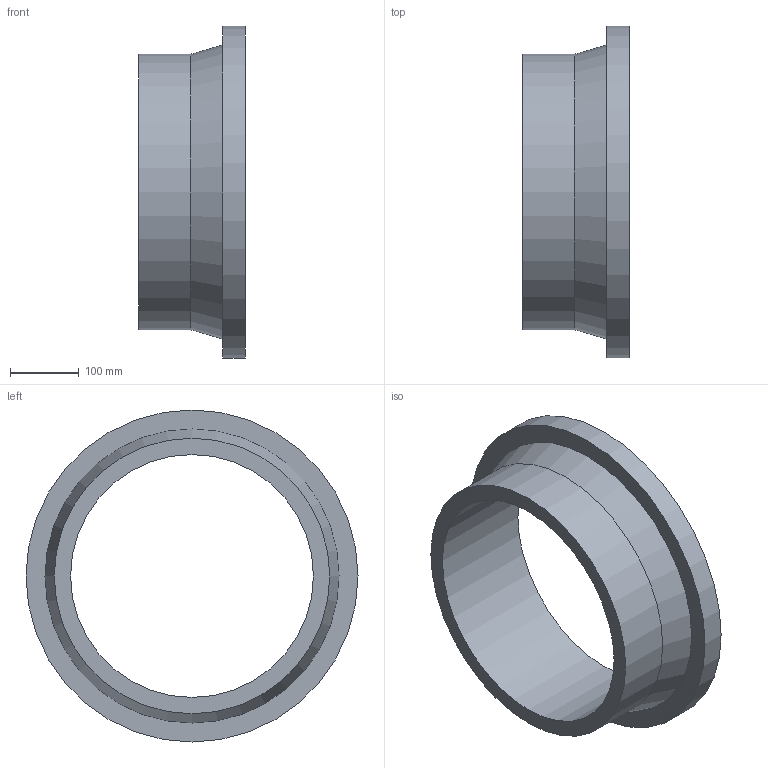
import cadquery as cq

total_length = 155.0
flange_thickness = 33.0
collar_length = 76.0

bore_diameter = 352.6
collar_diameter = 400.0
cone_end_diameter = 427.0
flange_diameter = 482.0

bore_radius = bore_diameter / 2
collar_radius = collar_diameter / 2
cone_end_radius = cone_end_diameter / 2
flange_radius = flange_diameter / 2
flange_start = total_length - flange_thickness


def make_stub_end():
    """Revolve the wall section, drawn as (position along X, radius), about the X axis."""
    wall_section = (
        cq.Workplane("XY")
        .moveTo(0, bore_radius)
        .lineTo(0, collar_radius)
        .lineTo(collar_length, collar_radius)
        .lineTo(flange_start, cone_end_radius)
        .lineTo(flange_start, flange_radius)
        .lineTo(total_length, flange_radius)
        .lineTo(total_length, bore_radius)
        .close()
    )
    return wall_section.revolve(360, (0, 0, 0), (1, 0, 0))


result = make_stub_end()